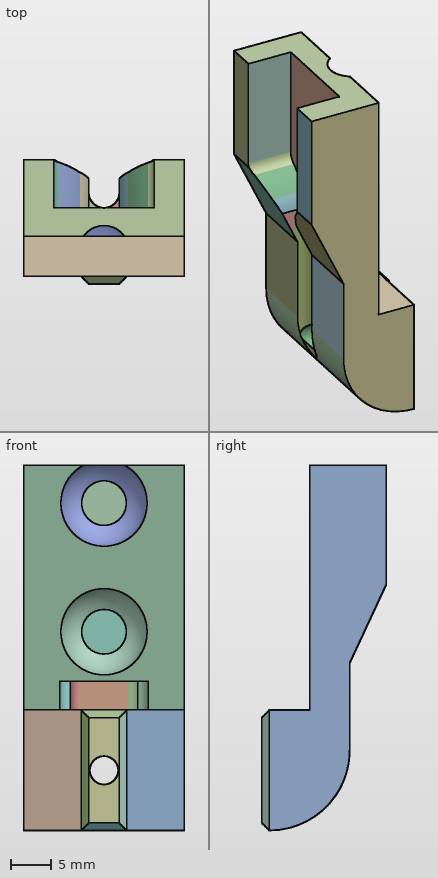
import cadquery as cq
import math

width = 20.0
height = 45.5
upper_depth = 9.55
lower_depth = 5.0
ramp_top = 30.6
ramp_bottom = 20.85
block_height = 15.0
block_projection = 5.0
heel_radius = lower_depth + block_projection

rib_width = 5.7
rib_projection = 0.95
hole_diameter = 3.5

pocket_diameter = 10.75
pocket_floor_diameter = 5.55
pocket_sphere_radius = 5.65
pocket_heights = (24.75, 40.75)

channel_width = 12.55
channel_floor = 3.55
slot_width = 3.78
shoulder_start = 31.15
shoulder_corner = (5.45, 29.8)
shoulder_corner_middle = (6.05, 30.35)
shoulder_middle = (4.2, 28.65)
shoulder_end = (3.0, 27.2)
neck_middle = (2.35, 26.45)
neck_start = 25.5

passage_width = 11.0
passage_height = 3.55
passage_depth = 3.4
passage_corner_radius = 2.28
island_width = 8.45
island_setback = 1.2
island_thickness = 1.27
island_corner_radius = 1.25


def make_body():
    heel_drop = heel_radius * math.sin(math.pi / 4)
    profile = (
        cq.Workplane("YZ")
        .moveTo(0, height)
        .lineTo(upper_depth, height)
        .lineTo(upper_depth, ramp_top)
        .lineTo(lower_depth, ramp_bottom)
        .lineTo(lower_depth, heel_radius)
        .threePointArc((heel_drop - block_projection, heel_radius - heel_drop), (-block_projection, 0))
        .lineTo(-block_projection, block_height)
        .lineTo(0, block_height)
        .close()
    )
    return profile.extrude(width / 2, both=True)


def make_rib():
    """Rib whose four sides slope inward at 45 degrees."""
    return (
        cq.Workplane("XZ", origin=(0, -block_projection, block_height / 2))
        .rect(rib_width, block_height)
        .extrude(rib_projection, taper=45)
    )


def make_pocket(center_height):
    """Spherical cap, truncated to leave a flat floor, revolved about an axis along Y."""
    rim_radius = pocket_diameter / 2
    floor_radius = pocket_floor_diameter / 2
    center_offset = math.sqrt(pocket_sphere_radius**2 - rim_radius**2)
    depth = math.sqrt(pocket_sphere_radius**2 - floor_radius**2) - center_offset
    middle_radius = (rim_radius + floor_radius) / 2
    middle_depth = math.sqrt(pocket_sphere_radius**2 - middle_radius**2) - center_offset
    return (
        cq.Workplane("XY", origin=(0, 0, center_height))
        .lineTo(rim_radius, 0)
        .threePointArc((middle_radius, middle_depth), (floor_radius, depth))
        .lineTo(0, depth)
        .close()
        .revolve(360, (0, 0, 0), (0, 1, 0))
    )


def mirrored(point):
    return (-point[0], point[1])


def make_channel():
    half_channel = channel_width / 2
    half_slot = slot_width / 2
    outline = (
        cq.Workplane("XZ", origin=(0, upper_depth, 0))
        .moveTo(-half_channel, height)
        .lineTo(half_channel, height)
        .lineTo(half_channel, shoulder_start)
        .threePointArc(shoulder_corner_middle, shoulder_corner)
        .threePointArc(shoulder_middle, shoulder_end)
        .threePointArc(neck_middle, (half_slot, neck_start))
        .lineTo(-half_slot, neck_start)
        .threePointArc(mirrored(neck_middle), mirrored(shoulder_end))
        .threePointArc(mirrored(shoulder_middle), mirrored(shoulder_corner))
        .threePointArc(mirrored(shoulder_corner_middle), (-half_channel, shoulder_start))
        .close()
    )
    return outline.extrude(upper_depth - channel_floor)


def make_slot():
    half_slot = slot_width / 2
    spring_line = channel_floor + half_slot
    return (
        cq.Workplane("XY")
        .moveTo(-half_slot, upper_depth)
        .lineTo(-half_slot, spring_line)
        .threePointArc((0, channel_floor), (half_slot, spring_line))
        .lineTo(half_slot, upper_depth)
        .close()
        .extrude(shoulder_start)
    )


def make_strap_passage():
    """Window in the front face that wraps behind a round-cornered island."""
    opening = (
        cq.Workplane("XY", origin=(0, passage_depth / 2, block_height))
        .rect(passage_width, passage_depth)
        .extrude(passage_height)
        .edges("|Z and >Y")
        .fillet(passage_corner_radius)
    )
    island = (
        cq.Workplane("XY", origin=(0, island_setback + island_thickness / 2, block_height))
        .rect(island_width, island_thickness)
        .extrude(passage_height)
        .edges("|Z and <Y")
        .fillet(island_corner_radius)
    )
    return opening.cut(island)


def make_screw_hole():
    front = -block_projection - rib_projection
    return (
        cq.Workplane("XZ", origin=(0, front, block_height / 2))
        .circle(hole_diameter / 2)
        .extrude(front - lower_depth)
    )


result = make_body().union(make_rib())
for pocket_height in pocket_heights:
    result = result.cut(make_pocket(pocket_height))
result = result.cut(make_channel())
result = result.cut(make_slot())
result = result.cut(make_strap_passage())
result = result.cut(make_screw_hole())